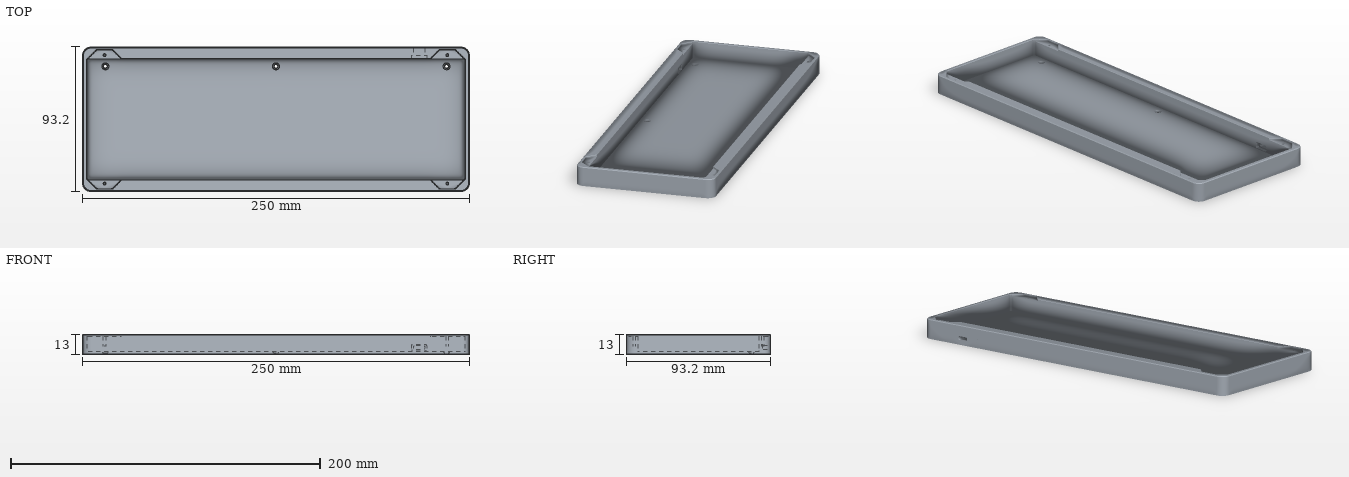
import cadquery as cq
length = 250.0
width = 93.2
height = 13.0
corner_radius = 5.5
floor_thickness = 1.7
outer_rim_chamfer = 0.5
inner_rim_chamfer = 0.2

end_wall = 2.7
side_wall = 7.5
cavity_corner_radius = 1.2
cavity_length = length - 2 * end_wall
cavity_width = width - 2 * side_wall
cavity_depth = height - floor_thickness

pocket_depth = 1.5
pocket_edge_wall = 1.7
pocket_short_side = 10.0
pocket_corner_radius = 1.2
screw_hole_x = 110.7
screw_hole_y = 41.5
screw_hole_diameter = 1.7
screw_hole_depth = 6.0

floor_hole_spacing = 110.2
floor_hole_y = 34.2
floor_hole_diameter = 2.5
countersink_diameter = 4.5
countersink_angle = 90.0

connector_x = 92.5
connector_sill = 0.5
recess_length = 10.0
recess_height = 4.2
recess_depth = 2.2
port_length = 7.5
port_height = 2.7
connector_corner_radius = 1.2
connector_z = floor_thickness + connector_sill + recess_height / 2


def case_body():
    """Rounded block with an open-topped cavity."""
    block = cq.Workplane("XY").box(length, width, height, centered=(True, True, False))
    block = block.edges("|Z").fillet(corner_radius)
    cavity = (
        cq.Workplane("XY", origin=(0, 0, floor_thickness))
        .box(cavity_length, cavity_width, cavity_depth, centered=(True, True, False))
        .edges("|Z")
        .fillet(cavity_corner_radius)
    )
    return block.cut(cavity)


def corner_pocket():
    """Trapezoidal pocket with 45 degree ends and a blind screw hole, in the +X +Y corner."""
    inner_y = cavity_width / 2
    outer_y = width / 2 - pocket_edge_wall
    overlap_y = inner_y - cavity_corner_radius
    half_short = pocket_short_side / 2
    half_long = half_short + outer_y - inner_y
    pocket_floor = height - pocket_depth
    pocket = (
        cq.Workplane("XY", origin=(screw_hole_x, 0, pocket_floor))
        .moveTo(-half_long, overlap_y)
        .lineTo(-half_long, inner_y)
        .lineTo(-half_short, outer_y)
        .lineTo(half_short, outer_y)
        .lineTo(half_long, inner_y)
        .lineTo(half_long, overlap_y)
        .close()
        .extrude(pocket_depth)
        .edges("|Z and >Y")
        .fillet(pocket_corner_radius)
    )
    hole = (
        cq.Workplane("XY", origin=(screw_hole_x, screw_hole_y, pocket_floor))
        .circle(screw_hole_diameter / 2)
        .extrude(-screw_hole_depth)
    )
    return pocket.union(hole)


def cut_corner_pockets(body):
    """The same pocket mirrored into all four corners."""
    back_right = corner_pocket()
    back_pair = back_right.union(back_right.mirror("YZ"))
    return body.cut(back_pair).cut(back_pair.mirror("XZ"))


def chamfer_rim(body):
    """Chamfer the outer edge of the rim, then its edge along the cavity and pockets."""
    outer_edges = body.faces(">Z").val().outerWire().Edges()
    body = body.newObject(outer_edges).chamfer(outer_rim_chamfer)
    inner_edges = body.faces(">Z").val().innerWires()[0].Edges()
    return body.newObject(inner_edges).chamfer(inner_rim_chamfer)


def connector_cutter(opening_length, opening_height, depth):
    """Round-cornered opening that starts at the cavity side of the back wall."""
    return (
        cq.Workplane("XY", origin=(connector_x, cavity_width / 2, connector_z))
        .box(opening_length, depth, opening_height, centered=(True, False, True))
        .edges("|Y")
        .fillet(connector_corner_radius)
    )


def drill_floor_holes(body):
    """Row of three holes along the back, countersunk from inside the cavity."""
    positions = [(x, floor_hole_y) for x in (-floor_hole_spacing, 0, floor_hole_spacing)]
    return (
        body.copyWorkplane(cq.Workplane("XY", origin=(0, 0, floor_thickness)))
        .pushPoints(positions)
        .cskHole(floor_hole_diameter, countersink_diameter, countersink_angle)
    )


result = cut_corner_pockets(case_body())
result = chamfer_rim(result)
result = result.cut(connector_cutter(recess_length, recess_height, recess_depth))
result = result.cut(connector_cutter(port_length, port_height, side_wall))
result = drill_floor_holes(result)